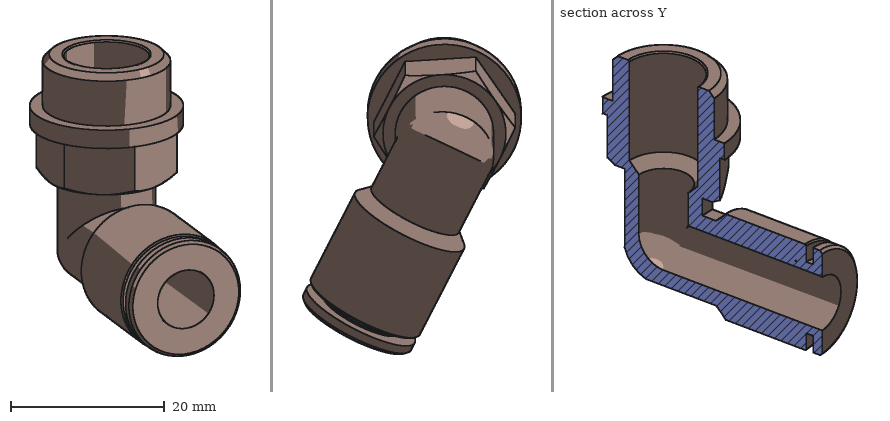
import cadquery as cq
import math


elbow_diameter = 12.8
elbow_radius = elbow_diameter / 2
corner_pivot = -1.48
corner_tilt = 15.5

hex_across_flats = 16.0
hex_bottom = 8.93
hex_top = 16.0
hex_chamfer_diameter = hex_across_flats
hex_chamfer_slope = 30
flange_diameter = 20.0
flange_top = 18.5
thread_diameter = 16.65
thread_top = 25.52
thread_chamfer = 0.85

body_diameter = 16.0
body_start = 8.6
body_end = 23.4
body_edge_chamfer = 0.2
neck_diameter = 10.8
neck_flare_diameter = 10.95
neck_flare_length = 0.18
collar_diameter = 15.8
collar_start = 24.48
collar_end = 36 - flange_diameter / 2
collar_chamfer = 0.4

bore_diameter = 8.0
mouth_diameter = 11.12
mouth_chamfer = 0.2
overlap = 0.35


def elbow_leg(direction, length):
    """Plain round leg, starting far enough behind the origin to reach the whole mitre."""
    plane = cq.Plane(origin=(0, 0, 0), xDir=(0, 1, 0), normal=direction)
    return (
        cq.Workplane(plane)
        .workplane(offset=-elbow_radius)
        .circle(elbow_radius)
        .extrude(length + elbow_radius)
    )


def mitre_side(upright):
    """Triangular block on one side of the mitre plane X = Z."""
    reach = 2 * elbow_diameter
    outer_corner = (-reach, reach) if upright else (reach, -reach)
    return (
        cq.Workplane("XZ")
        .polyline([(-reach, -reach), (reach, reach), outer_corner])
        .close()
        .extrude(elbow_diameter, both=True)
    )


def rounded_corner():
    """Slanted section of the upright leg, swung about the pivot to the matching section of the other leg."""
    cosine = math.cos(math.radians(corner_tilt))
    sine = math.sin(math.radians(corner_tilt))
    center = corner_pivot / cosine
    half_width = math.sqrt(elbow_radius**2 - corner_pivot**2)
    end_angle = math.degrees(math.acos(corner_pivot / elbow_radius))
    section_plane = cq.Plane(
        origin=(corner_pivot, 0, corner_pivot),
        xDir=(cosine, 0, sine),
        normal=(sine, 0, -cosine),
    )
    return (
        cq.Workplane(section_plane)
        .center(-center, 0)
        .ellipseArc(elbow_radius / cosine, elbow_radius, end_angle, 360 - end_angle, startAtCurrent=False)
        .close()
        .revolve(90 - 2 * corner_tilt, (center, -half_width), (center, half_width))
    )


def elbow():
    mitred = elbow_leg((0, 0, 1), hex_bottom).intersect(mitre_side(upright=True))
    mitred = mitred.union(elbow_leg((1, 0, 0), body_start).intersect(mitre_side(upright=False)))
    reach = 2 * elbow_diameter
    long_side = reach * math.cos(math.radians(corner_tilt))
    short_side = reach * math.sin(math.radians(corner_tilt))
    corner_wedge = (
        cq.Workplane("XZ")
        .moveTo(corner_pivot, corner_pivot)
        .lineTo(corner_pivot - long_side, corner_pivot - short_side)
        .lineTo(corner_pivot - short_side, corner_pivot - long_side)
        .close()
        .extrude(elbow_diameter, both=True)
    )
    return mitred.cut(corner_wedge).union(rounded_corner())


def threaded_end():
    hex_corner_diameter = hex_across_flats / math.cos(math.radians(30))
    hexagon = (
        cq.Workplane("XY", origin=(0, 0, hex_bottom))
        .polygon(6, hex_corner_diameter)
        .extrude(hex_top - hex_bottom)
    )
    corner_overhang = (hex_corner_diameter - hex_chamfer_diameter) / 2
    chamfer_height = corner_overhang * math.tan(math.radians(hex_chamfer_slope))
    chamfer_envelope = (
        cq.Workplane("XZ")
        .moveTo(0, hex_bottom)
        .lineTo(hex_chamfer_diameter / 2, hex_bottom)
        .lineTo(hex_corner_diameter / 2, hex_bottom + chamfer_height)
        .lineTo(hex_corner_diameter / 2, hex_top)
        .lineTo(0, hex_top)
        .close()
        .revolve(360, (0, 0), (0, 1))
    )
    flange = (
        cq.Workplane("XY", origin=(0, 0, hex_top))
        .circle(flange_diameter / 2)
        .extrude(flange_top - hex_top)
    )
    thread = (
        cq.Workplane("XY", origin=(0, 0, flange_top))
        .circle(thread_diameter / 2)
        .extrude(thread_top - flange_top)
        .faces(">Z")
        .chamfer(thread_chamfer)
    )
    return hexagon.intersect(chamfer_envelope).union(flange).union(thread)


def tube_end():
    cone_length = (body_diameter - elbow_diameter) / 2
    body_radius = body_diameter / 2
    neck_radius = neck_diameter / 2
    neck_flare_radius = neck_flare_diameter / 2
    collar_radius = collar_diameter / 2
    return (
        cq.Workplane("XY")
        .moveTo(body_start, 0)
        .lineTo(body_start, elbow_radius)
        .lineTo(body_start + cone_length, body_radius)
        .lineTo(body_end - body_edge_chamfer, body_radius)
        .lineTo(body_end, body_radius - body_edge_chamfer)
        .lineTo(body_end, neck_radius)
        .lineTo(collar_start - neck_flare_length, neck_radius)
        .lineTo(collar_start, neck_flare_radius)
        .lineTo(collar_start, collar_radius)
        .lineTo(collar_end - collar_chamfer, collar_radius)
        .lineTo(collar_end, collar_radius - collar_chamfer)
        .lineTo(collar_end, 0)
        .close()
        .revolve(360, (0, 0), (1, 0))
    )


def bore():
    """Passage from the thread mouth, around a ball-shaped bend, out through the tube end."""
    bore_radius = bore_diameter / 2
    mouth_radius = mouth_diameter / 2
    cone_height = mouth_radius - bore_radius
    upright = (
        cq.Workplane("XZ")
        .lineTo(bore_radius, 0)
        .lineTo(bore_radius, hex_bottom)
        .lineTo(mouth_radius, hex_bottom + cone_height)
        .lineTo(mouth_radius, thread_top - mouth_chamfer)
        .lineTo(mouth_radius + mouth_chamfer, thread_top)
        .lineTo(0, thread_top)
        .close()
        .revolve(360, (0, 0), (0, 1))
    )
    bend = cq.Workplane("XY").sphere(bore_radius)
    level = cq.Workplane("YZ").circle(bore_radius).extrude(collar_end + overlap)
    return upright.union(bend).union(level)


result = elbow().union(threaded_end()).union(tube_end()).cut(bore())